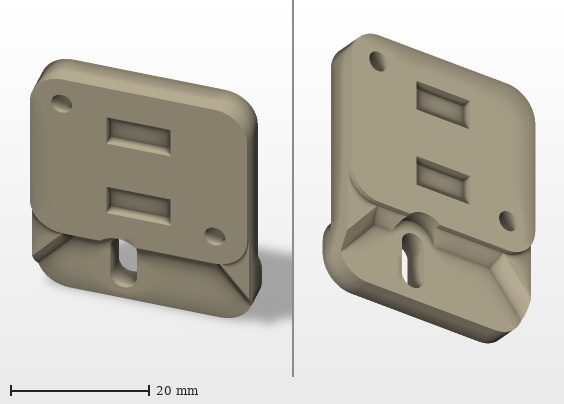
import cadquery as cq

width = 33.0
height = 40.0
corner_radius = 5.0
plate_thickness = 5.0

front_pad_depth = 1.0
foot_front = 3.0
foot_height = 12.0
rear_pad_thickness = 2.0

recess_depth = foot_front - front_pad_depth
recess_wall_angle = 45.0
recess_side_bottom = 6.0
recess_top_left = -11.1
recess_top_right = 11.5

slot_x = -3.25
slot_width = 4.0
slot_bottom = 2.0
slot_top = 11.0
screw_clearance_diameter = 8.0

hole_diameter = 3.2
hole_places = [(-11.7, 35.55), (11.6, 16.9)]

pocket_width = 9.7
pocket_height = 4.8
pocket_depth = 1.8
pocket_levels = [19.7, 32.3]


def front_plane(y):
    """Sketch plane at depth y: sketch axes are X and Z, and a negative extrusion runs toward +Y."""
    return cq.Workplane("XZ", origin=(0, y, 0))


def slab(bottom, top, y_front, y_back):
    """Full-width block with all four corners rounded."""
    return (
        front_plane(y_front)
        .center(0, (bottom + top) / 2)
        .rect(width, top - bottom)
        .extrude(y_front - y_back)
        .edges("|Y")
        .fillet(corner_radius)
    )


def foot_recess():
    """Tapered cut that thins the foot; its sides run on past the plate edges."""
    half = width / 2
    rise = foot_height - recess_side_bottom
    left_slope = (recess_top_left + half) / rise
    right_slope = (half - recess_top_right) / rise
    low = -height / 2
    drop = foot_height - low
    outline = [
        (recess_top_left, foot_height),
        (recess_top_right, foot_height),
        (recess_top_right + right_slope * drop, low),
        (recess_top_left - left_slope * drop, low),
    ]
    return (
        front_plane(front_pad_depth)
        .polyline(outline)
        .close()
        .extrude(-recess_depth, taper=recess_wall_angle)
    )


def slot():
    length = slot_top - slot_bottom
    return (
        front_plane(0)
        .center(slot_x, (slot_bottom + slot_top) / 2)
        .slot2D(length, slot_width, 90)
        .extrude(-(plate_thickness + rear_pad_thickness))
    )


def screw_clearance():
    return (
        front_plane(0)
        .center(slot_x, slot_top - slot_width / 2)
        .circle(screw_clearance_diameter / 2)
        .extrude(-foot_front)
    )


def mounting_holes():
    return front_plane(0).pushPoints(hole_places).circle(hole_diameter / 2).extrude(-plate_thickness)


def pockets():
    places = [(0, z) for z in pocket_levels]
    return front_plane(0).pushPoints(places).rect(pocket_width, pocket_height).extrude(-pocket_depth)


front_pad = slab(foot_height, height, 0, front_pad_depth)
main_plate = slab(0, height, front_pad_depth, plate_thickness)
rear_pad = slab(0, foot_height, plate_thickness, plate_thickness + rear_pad_thickness)

result = (
    main_plate
    .union(front_pad)
    .union(rear_pad)
    .cut(foot_recess())
    .cut(screw_clearance())
    .cut(slot())
    .cut(mounting_holes())
    .cut(pockets())
)